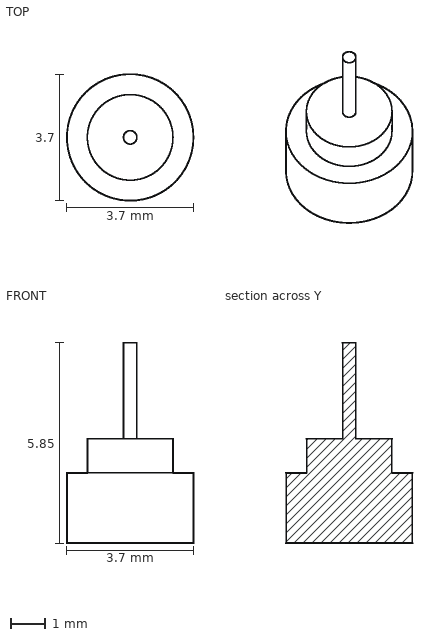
import cadquery as cq

total_height = 5.85
base_height = 2.05
collar_height = 1.0
pin_height = total_height - base_height - collar_height

base_diameter = 3.7
collar_diameter = 2.5
pin_diameter = 0.39


def add_step(body, diameter, height):
    """Stack a centred cylinder on the top face of the body."""
    return body.faces(">Z").workplane().circle(diameter / 2).extrude(height)


base = cq.Workplane("XY").circle(base_diameter / 2).extrude(base_height)

base_with_collar = add_step(base, collar_diameter, collar_height)
result = add_step(base_with_collar, pin_diameter, pin_height)